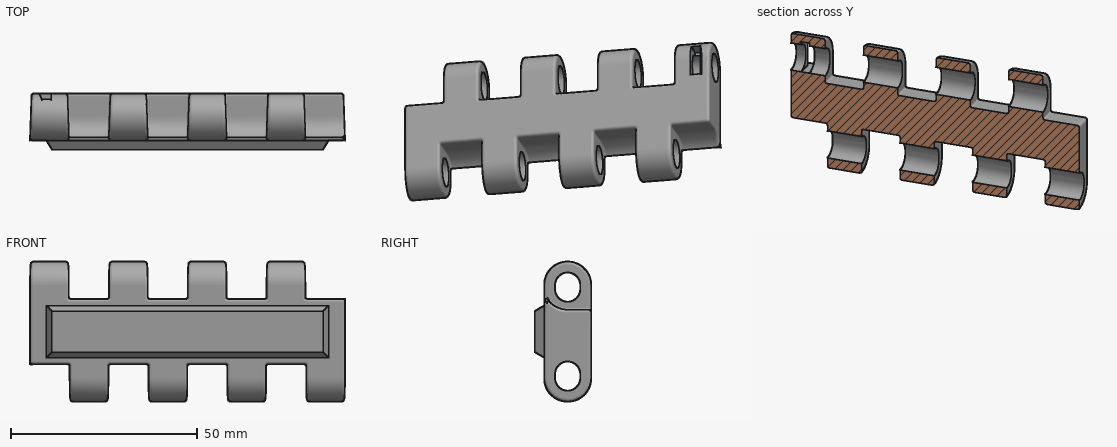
import cadquery as cq
import math

length = 84.71
thickness = 12.7
axis_spacing = 25.0
knuckles_per_side = 4
knuckle_width = 10.55
draft_angle = 2.0
edge_radius = 0.8
recess_radius = 6.6
rim_height = 3.7
corner_radius = 0.5

bore_width = 6.7
bore_stretch = 1.1

pad_length = 75.8
pad_height = 14.0
pad_thickness = 2.5
pad_bevel = 1.5

notch_left = 3.2
notch_width = 2.5
notch_top = 4.2
notch_bottom = 4.45
notch_flare = 0.7
notch_flare_depth = 1.6

half_thickness = thickness / 2
axis_z = axis_spacing / 2
pitch = length / knuckles_per_side
gap_width = pitch - knuckle_width
draft_inset = thickness * math.tan(math.radians(draft_angle))
overshoot = 5.0
tolerance = 0.01


def tapered_block(left, right, bottom, top, inset):
    """Block between the front and back faces; each X side moves in by inset at the back."""
    outline = [
        (left, -half_thickness),
        (right, -half_thickness),
        (right - inset, half_thickness),
        (left + inset, half_thickness),
    ]
    return cq.Workplane("XY").workplane(offset=bottom).polyline(outline).close().extrude(top - bottom)


def link_blank():
    """Round-ended bar with drafted ends."""
    bar = (
        cq.Workplane("YZ")
        .slot2D(axis_spacing + thickness, thickness, 90)
        .extrude(length)
    )
    return bar.intersect(tapered_block(0, length, -axis_spacing, axis_spacing, draft_inset))


def recess_region(side):
    """Space for mating knuckles: flat floor at the back, then an arc, then a narrow flat front rim."""
    reach = half_thickness + overshoot
    floor_z = side * (axis_z - recess_radius)
    rim_z = side * (axis_z - rim_height)
    rim_depth = math.sqrt(recess_radius**2 - rim_height**2)
    far_z = side * (axis_z + reach)
    return (
        cq.Workplane("YZ", origin=(-overshoot, 0, 0))
        .moveTo(reach, floor_z)
        .lineTo(0, floor_z)
        .radiusArc((-rim_depth, rim_z), side * recess_radius)
        .lineTo(-reach, rim_z)
        .lineTo(-reach, far_z)
        .lineTo(reach, far_z)
        .close()
        .extrude(length + 2 * overshoot)
    )


def gap_block(left, right, side):
    """Gap between knuckles, opening toward the back because the knuckles are drafted."""
    z_limits = sorted((0, side * (axis_z + half_thickness + overshoot)))
    return tapered_block(left, right, z_limits[0], z_limits[1], -draft_inset)


def cut_gaps(link):
    """Upper gaps follow each knuckle; lower gaps come before each knuckle."""
    for index in range(knuckles_per_side):
        upper_left = index * pitch + knuckle_width
        upper_right = upper_left + gap_width
        lower_left = index * pitch
        lower_right = lower_left + gap_width
        if index == knuckles_per_side - 1:
            upper_right += overshoot
        if index == 0:
            lower_left -= overshoot
        link = link.cut(gap_block(upper_left, upper_right, 1).intersect(recess_region(1)))
        link = link.cut(gap_block(lower_left, lower_right, -1).intersect(recess_region(-1)))
    return link


def rod_bore(side):
    """Elongated hole through one row of knuckles, stretched toward the middle."""
    center_z = side * (axis_z - bore_stretch / 2)
    return (
        cq.Workplane("YZ", origin=(-overshoot, 0, center_z))
        .slot2D(bore_width + bore_stretch, bore_width, 90)
        .extrude(length + 2 * overshoot)
    )


def retention_notch():
    """Slot from the back face into the bore of the first upper knuckle, with a sloped left side."""
    height = notch_top + notch_bottom
    right = notch_left + notch_width
    slope = notch_flare / notch_flare_depth
    outline = [
        (notch_left, 0),
        (right, 0),
        (right, half_thickness + overshoot),
        (notch_left - notch_flare - slope * overshoot, half_thickness + overshoot),
        (notch_left, half_thickness - notch_flare_depth),
    ]
    return (
        cq.Workplane("XY", origin=(0, 0, axis_z - notch_bottom))
        .polyline(outline)
        .close()
        .extrude(height)
    )


def inside_corner_edges(link):
    """Edges where gap floors meet knuckle sides, between the front and back faces."""
    corners = []
    for edge in link.edges().vals():
        center = edge.Center()
        along_x = abs(edge.tangentAt(0.5).x) > 0.5
        between_faces = abs(center.y) < half_thickness - tolerance
        below_axis = abs(center.z) < axis_z
        inside_ends = draft_inset < center.x < length - draft_inset
        if between_faces and below_axis and inside_ends and not along_x:
            corners.append(edge)
    return corners


def outer_edges(link):
    """Edges bounding the front and back faces, the knuckle ends and the two link ends."""
    outline = []
    for edge in link.edges().vals():
        center = edge.Center()
        along_x = edge.BoundingBox().xlen > draft_inset + tolerance
        on_face = abs(center.y) > half_thickness - tolerance
        beyond_axis = abs(center.z) > axis_z
        on_link_end = not draft_inset < center.x < length - draft_inset
        if on_face or beyond_axis or (on_link_end and not along_x):
            outline.append(edge)
    return outline


def round_edges(link):
    """Inside corners first, so that the outer rounding can follow them."""
    link = link.newObject(inside_corner_edges(link)).fillet(corner_radius)
    link = link.newObject(outer_edges(link)).fillet(edge_radius)
    return cq.Workplane(link.solids().val().fix())


def build_link():
    link = round_edges(cut_gaps(link_blank()))
    link = link.cut(rod_bore(1)).cut(rod_bore(-1))
    return link.cut(retention_notch())


def build_pad():
    """Bevelled pad seated on the front face of the link."""
    bevel_angle = math.degrees(math.atan2(pad_bevel, pad_thickness))
    return (
        cq.Workplane("XZ", origin=(length / 2, -half_thickness, 0))
        .rect(pad_length, pad_height)
        .extrude(pad_thickness, taper=bevel_angle)
    )


link = build_link()
pad = build_pad()

result = cq.Compound.makeCompound([link.val(), pad.val()])